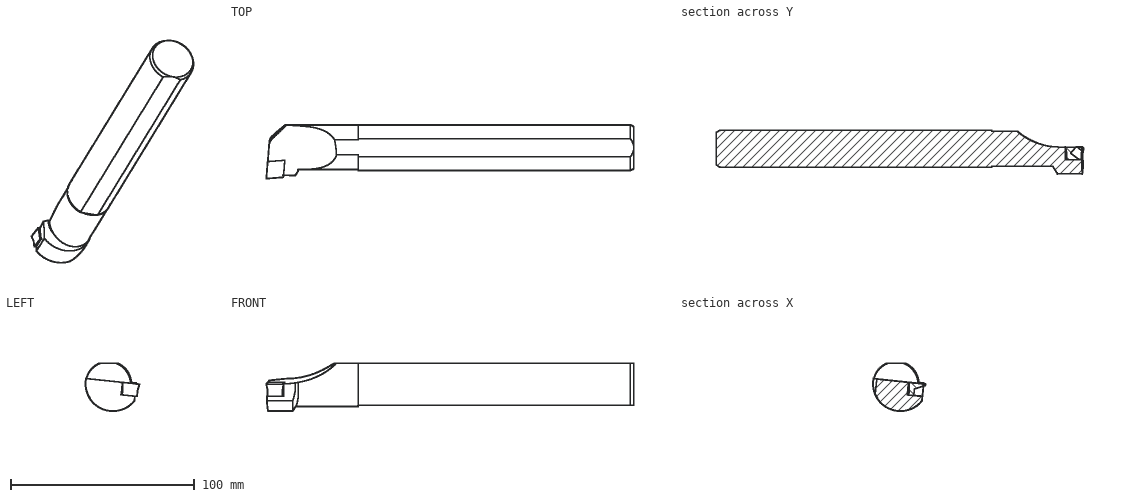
import cadquery as cq
import math

length = 200.0
shank_radius = 12.5
flat_height = 11.5
neck_radius = 12.2
neck_centre_y = 0.2
neck_end = 50.0
end_chamfer_length = 1.8
end_chamfer_depth = 1.0

head_radius = 15.0
head_centre_y = -2.4
head_centre_z = 0.3
head_cylinder_end = 14.4
head_cone_end = 17.4
head_cone_radius = 10.4
head_side_y = -15.2
nose_corner = (1.8, 3.4)
back_corner = (11.0, 12.4)
nose_round = 5.0

rake_tilt = 6.0
rake_height = 1.8
scoop_axis_x = -10.8
scoop_flat_radius = 25.0
scoop_arc_radius = 34.0
scoop_arc_angle = math.radians(60)

insert_length = 9.4
insert_thickness = 6.8
insert_tip_y = -17.0
edge_angle = math.radians(4.5)
relief_angle = math.radians(10)

reach = 40.0


def tilt(body):
    """Move a body modelled on the XY plane to the rake plane."""
    return body.rotate((0, 0, 0), (1, 0, 0), rake_tilt).translate((0, 0, rake_height))


def make_bar():
    neck = cq.Workplane("YZ").center(neck_centre_y, 0).circle(neck_radius).extrude(neck_end)
    shank = (
        cq.Workplane("XY")
        .moveTo(neck_end, 0)
        .lineTo(neck_end, shank_radius)
        .lineTo(length - end_chamfer_length, shank_radius)
        .lineTo(length, shank_radius - end_chamfer_depth)
        .lineTo(length, 0)
        .close()
        .revolve(360, (0, 0), (1, 0))
    )
    shank_slab = cq.Workplane("XY").box(length, 2 * reach, 2 * flat_height, centered=(False, True, True))
    shank = shank.intersect(shank_slab)
    neck_top = cq.Workplane("XY", origin=(0, 0, flat_height)).box(
        neck_end, 2 * reach, reach, centered=(False, True, False)
    )
    return neck.cut(neck_top).union(shank)


def make_head_blank():
    profile = [
        (0, 0),
        (0, head_radius),
        (head_cylinder_end, head_radius),
        (head_cone_end, head_cone_radius),
        (head_cone_end, 0),
    ]
    head = cq.Workplane("XY").polyline(profile).close().revolve(360, (0, 0), (1, 0))
    return head.translate((0, head_centre_y, head_centre_z))


def make_head_outline():
    """Prism square to the rake plane that trims the end, back and side of the head."""
    nose_x, nose_y = nose_corner
    back_x, back_y = back_corner
    back_slope = (back_y - nose_y) / (back_x - nose_x)
    outline = [
        (nose_x - (nose_y - head_side_y) * math.tan(edge_angle), head_side_y),
        nose_corner,
        (nose_x + (reach - nose_y) / back_slope, reach),
        (length + reach, reach),
        (length + reach, head_side_y),
    ]
    prism = cq.Workplane("XY").workplane(offset=-reach).polyline(outline).close().extrude(2 * reach)
    nose_edge = cq.selectors.NearestToPointSelector((nose_x, nose_y, 0))
    return tilt(prism.edges("|Z").edges(nose_edge).fillet(nose_round))


def make_scoop():
    """Flat disc whose rim curves up tangentially, cut square to the rake plane."""
    def rim_point(angle):
        return (
            scoop_flat_radius + scoop_arc_radius * math.sin(angle),
            scoop_arc_radius * (1 - math.cos(angle)),
        )

    rim_end = rim_point(scoop_arc_angle)
    scoop = (
        cq.Workplane("XZ")
        .lineTo(scoop_flat_radius, 0)
        .threePointArc(rim_point(scoop_arc_angle / 2), rim_end)
        .lineTo(0, rim_end[1])
        .close()
        .revolve(360, (0, 0), (0, 1))
    )
    return tilt(scoop.translate((scoop_axis_x, 0, 0)))


def rhombus(inset, height):
    """Insert outline moved in by inset on every side, at a height from the rake plane."""
    long_step = insert_length * math.cos(edge_angle)
    short_step = insert_length * math.sin(edge_angle)
    tip_inset = inset / (math.cos(edge_angle) - math.sin(edge_angle))
    scale = 1 - 2 * inset / (insert_length * math.cos(2 * edge_angle))
    x = tip_inset
    y = insert_tip_y + tip_inset
    run = long_step * scale
    rise = short_step * scale
    points = [(x, y), (x + run, y + rise), (x + run + rise, y + run + rise), (x + rise, y + run)]
    return cq.Workplane("XY").workplane(offset=height).polyline(points).close()


def make_insert():
    half = insert_thickness / 2
    inset = half * math.tan(relief_angle)
    lower_wire = rhombus(inset, -half).val()
    upper_wire = rhombus(0, 0).val()
    upper = cq.Workplane(cq.Solid.makeLoft([lower_wire, upper_wire], True))
    lower = rhombus(inset, -half).extrude(-half)
    return tilt(upper.union(lower))


def make_pocket():
    return tilt(rhombus(0, -insert_thickness).extrude(insert_thickness))


holder = (
    make_bar()
    .union(make_head_blank())
    .intersect(make_head_outline())
    .cut(make_scoop())
    .cut(make_pocket())
)
insert = make_insert()

result = cq.Compound.makeCompound([holder.val(), insert.val()])